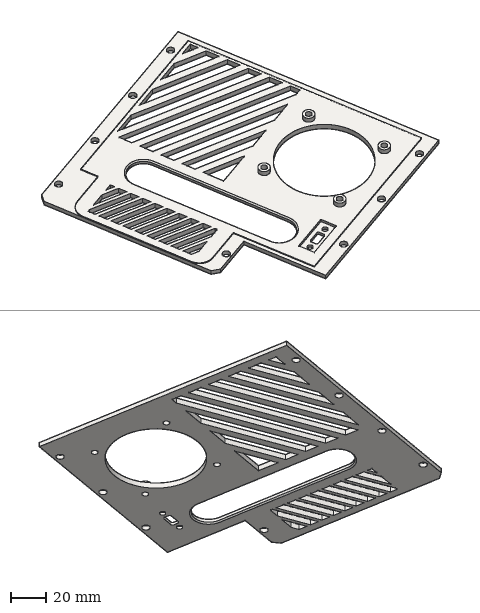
import cadquery as cq
import math

plate_width = 172.5
plate_height = 156.8
plate_thickness = 3.0
tab_width = 118.4
tab_height = 30.0
tab_chamfer = 4.0

panel_bottom = 0.2
panel_rise = 0.7
panel_side_margin = 9.0
panel_top_margin = 4.0
panel_step_height = 32.5
panel_tab_left = 20.5
panel_tab_right = 110.1
panel_corner_radius = 9.0
panel_top = plate_thickness + panel_rise

mount_diameter = 4.7
mount_edge_offset = 4.0
mount_pitch = 42.5
mount_rows = 3
mount_first_drop = 15.0
tab_mount_height = 16.2
tab_mount_inset = 3.5

fan_x = 125.0
fan_y = plate_height - 47.8
fan_diameter = 58.0
standoff_pitch = 50.0
standoff_diameter = 7.0
standoff_bore = 3.8
standoff_top = 6.7

slot_y = 48.0
slot_length = 110.0
slot_width = 20.2
slot_rim = 0.9

connector_x = 152.7
connector_y = 54.5
recess_width = 10.4
recess_height = 24.8
recess_depth = 1.7
connector_hole_pitch = 16.7
connector_hole_diameter = 3.5
window_width = 5.0
window_height = 9.0
window_radius = 1.0

grille_angle = math.radians(60)
large_grille = dict(
    left=11.5, bottom=65.5, width=72.5, height=85.4, first_bar=5.2, pitch=12.0, bar_width=4.7, bar_count=8
)
small_grille = dict(
    left=30.0, bottom=5.2, width=70.7, height=24.8, first_bar=3.0, pitch=6.9, bar_width=2.2, bar_count=11
)


def block(left, bottom, right, top, z_low, z_high):
    """Box given by its edges."""
    return (
        cq.Workplane("XY", origin=(0, 0, z_low))
        .moveTo((left + right) / 2, (bottom + top) / 2)
        .rect(right - left, top - bottom)
        .extrude(z_high - z_low)
    )


def cylinders(points, diameter):
    """Upright cylinders from the bottom face to the standoff height."""
    return cq.Workplane("XY").pushPoints(points).circle(diameter / 2).extrude(standoff_top)


def make_plate():
    body = block(0, tab_height, plate_width, plate_height, 0, plate_thickness)
    tab = block(0, 0, tab_width, tab_height, 0, plate_thickness)
    tab = tab.edges("|Z and <Y").chamfer(tab_chamfer)
    return body.union(tab)


def make_panel():
    body = block(
        panel_side_margin,
        panel_step_height,
        plate_width - panel_side_margin,
        plate_height - panel_top_margin,
        plate_thickness,
        panel_top,
    )
    tab = block(
        panel_tab_left,
        panel_bottom,
        panel_tab_right,
        panel_step_height,
        plate_thickness,
        panel_top,
    )
    tab = tab.edges("|Z and <Y").fillet(panel_corner_radius)
    return body.union(tab)


def grille_openings(left, bottom, width, height, first_bar, pitch, bar_width, bar_count):
    """Rectangular cutter with slanted gaps that leave the grille bars standing.

    first_bar is the distance from the top left corner to the first bar;
    pitch and bar_width are measured square to the bars.
    """
    top = bottom + height
    run = height / math.tan(grille_angle)
    bars = cq.Workplane("XY")
    for index in range(bar_count):
        bar_left = left + first_bar + index * pitch / math.sin(grille_angle)
        bar_right = bar_left + bar_width / math.sin(grille_angle)
        bars = bars.polyline(
            [(bar_left, top), (bar_right, top), (bar_right - run, bottom), (bar_left - run, bottom)]
        ).close()
    frame = block(left, bottom, left + width, top, 0, panel_top)
    return frame.cut(bars.extrude(panel_top))


def handle_slot():
    """Slot cutter that flares out at 45 degrees at both faces."""
    middle = cq.Workplane("XY", origin=(plate_width / 2, slot_y, 0))
    through = middle.slot2D(slot_length, slot_width).extrude(panel_top)
    flare_length = slot_length + 2 * slot_rim
    flare_width = slot_width + 2 * slot_rim
    lower_flare = middle.slot2D(flare_length, flare_width).extrude(slot_rim, taper=45)
    upper_flare = (
        middle.workplane(offset=panel_top)
        .slot2D(flare_length, flare_width)
        .extrude(-slot_rim, taper=45)
    )
    return through.union(lower_flare).union(upper_flare)


def connector_cutout():
    recess = (
        cq.Workplane("XY", origin=(connector_x, connector_y, panel_top))
        .rect(recess_width, recess_height).extrude(-recess_depth)
    )
    window = (
        cq.Workplane("XY").center(connector_x, connector_y)
        .rect(window_width, window_height).extrude(panel_top)
        .edges("|Z").fillet(window_radius)
    )
    half_pitch = connector_hole_pitch / 2
    screw_points = [(connector_x, connector_y + side * half_pitch) for side in (-1, 1)]
    return recess.union(window).union(cylinders(screw_points, connector_hole_diameter))


standoff_points = [
    (fan_x + x_side * standoff_pitch / 2, fan_y + y_side * standoff_pitch / 2)
    for x_side in (-1, 1)
    for y_side in (-1, 1)
]
standoffs = cylinders(standoff_points, standoff_diameter)
result = make_plate().union(make_panel()).union(standoffs)

mount_points = [
    (x, plate_height - mount_first_drop - row * mount_pitch)
    for x in (mount_edge_offset, plate_width - mount_edge_offset)
    for row in range(mount_rows)
]
mount_points += [(x, tab_mount_height) for x in (mount_edge_offset, tab_width - tab_mount_inset)]
result = result.cut(cylinders(mount_points, mount_diameter))
result = result.cut(cylinders(standoff_points, standoff_bore))
result = result.cut(cylinders([(fan_x, fan_y)], fan_diameter))

result = result.cut(handle_slot()).cut(connector_cutout())
result = result.cut(grille_openings(**large_grille))
result = result.cut(grille_openings(**small_grille))